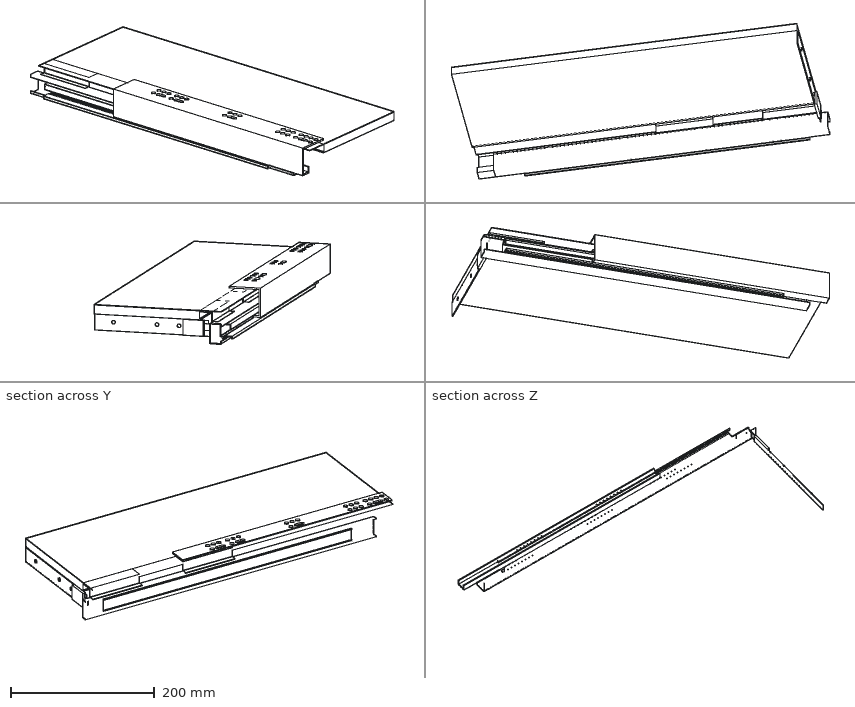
import cadquery as cq
import math

LENGTH = 501.5
WIDTH = 198.5
HEIGHT = 51.5

COVER_START = 158.0
COVER_END = 500.0
COVER_SHEET = 2.25
COVER_TOP_WIDTH = 45.5
COVER_BASE_Z = 10.0
COVER_BASE_WIDTH = 14.0
COVER_LIP_TOP = 19.5

HOLE_DIAMETER = 6.0
HOLE_PITCH = 9.0
GROUP_PITCH = 32.0
FIRST_HOLE_X = 210.0
MIDDLE_GROUP_OFFSET = 4 * GROUP_PITCH
END_GROUP_OFFSET = 7 * GROUP_PITCH
INNER_ROW_Y = 36.5
OUTER_ROW_Y = 24.5

CHANNEL_END = 474.5
CHANNEL_HEIGHT = 29.5
CHANNEL_SHEET = 1.5
CHANNEL_BACK_Y = 27.5
CHANNEL_FRONT_Y = 9.5
CHANNEL_LIP = 4.5
CHANNEL_INNER_BEND = 1.0
CHANNEL_OUTER_BEND = CHANNEL_INNER_BEND + CHANNEL_SHEET

RAIL_START = 29.5
RAIL_END = 434.5
RAIL_SHEET = 1.5
RAIL_BACK_Y = 21.0
RAIL_TOP_Z = 24.0
RAIL_BASE_Z = 5.5
RAIL_HOOK_Y = 5.0
RAIL_HOOK_BOTTOM = 15.5
RAIL_FOOT_Y = 4.0
RAIL_FOOT_BOTTOM = 2.5
BEAD_Y = 16.5
BEAD_HALF_WIDTH = 3.0
BEAD_HEIGHT = 3.0

FLOOR_START = 11.5
SHEET_TOP = 44.5
SHEET_THICKNESS = 1.0
SHEET_FRONT_Y = 13.5
BOARD_FRONT_Y = 45.0
BOARD_BASE_Z = 31.0
LEDGE_WIDTH = 1.5
LEDGE_HEIGHT = 1.5
SHEET_BASE_Z = SHEET_TOP - SHEET_THICKNESS

ANGLE_LENGTH = 80.5
ANGLE_SECOND_START = 163.0
ANGLE_SHEET = 1.5
ANGLE_FOOT_SHEET = 0.5
ANGLE_FOOT_Y = 18.0

PANEL_START = 10.0
PANEL_BASE_Z = 8.5
PANEL_FAR_Y = 197.0
PANEL_NEAR_Y = 37.5
PANEL_HOLE_DIAMETER = 5.0
PANEL_HOLE_Z = 21.0
PANEL_HOLE_YS = (170.0, 107.0, 74.5)

PAD_START = 7.5
PAD_FAR_Y = 68.0
PAD_CHAMFER = 1.5
TIE_START = 8.5
TIE_RECESS = 0.5
TIE_TOP_Z = 26.5
TIE_STEP_Z = 17.0
TIE_GAP = 2.0
TAB_NEAR_Y = 31.5


def block(x_range, y_range, z_range):
    """Box between the given limits."""
    size = [high - low for low, high in (x_range, y_range, z_range)]
    return cq.Workplane("XY").box(*size, centered=False).translate((x_range[0], y_range[0], z_range[0]))


def left_normal(start, end):
    """Unit normal on the left of the segment from start to end."""
    run = math.dist(start, end)
    return (start[1] - end[1]) / run, (end[0] - start[0]) / run


def thickened(path, thickness):
    """Closed outline of a sheet whose right-hand face follows the path, with mitred bends."""
    normals = [left_normal(a, b) for a, b in zip(path, path[1:])]
    before = [normals[0]] + normals
    after = normals + [normals[-1]]
    other_face = []
    for (y, z), (ay, az), (by, bz) in zip(path, before, after):
        reach = thickness / (1 + ay * by + az * bz)
        other_face.append((y + (ay + by) * reach, z + (az + bz) * reach))
    return path + other_face[::-1]


def sheet_profile(path, thickness, start, end):
    """Sheet section in the YZ plane extruded from X = start to X = end."""
    outline = thickened(path, thickness)
    return cq.Workplane("YZ").workplane(offset=start).polyline(outline).close().extrude(end - start)


def make_cover():
    """Cover profile with two rows of fixing holes and slots in its top flange."""
    path = [
        (COVER_TOP_WIDTH, HEIGHT),
        (0, HEIGHT),
        (0, COVER_BASE_Z),
        (COVER_BASE_WIDTH, COVER_BASE_Z),
        (COVER_BASE_WIDTH, COVER_LIP_TOP),
    ]
    cover = sheet_profile(path, COVER_SHEET, COVER_START, COVER_END)

    group_offsets = (0, GROUP_PITCH, MIDDLE_GROUP_OFFSET, END_GROUP_OFFSET, END_GROUP_OFFSET + GROUP_PITCH)
    group_starts = [FIRST_HOLE_X + offset for offset in group_offsets]
    holes = []
    slots = []
    for start in group_starts:
        holes += [(start + i * HOLE_PITCH, INNER_ROW_Y) for i in range(3)]
        holes.append((start, OUTER_ROW_Y))
        if start == group_starts[3]:
            holes += [(start + i * HOLE_PITCH, OUTER_ROW_Y) for i in (1, 2)]
        else:
            slots.append((start + 1.5 * HOLE_PITCH, OUTER_ROW_Y))
    holes += [(group_starts[-1] + 3 * HOLE_PITCH, y) for y in (INNER_ROW_Y, OUTER_ROW_Y)]

    top = cq.Workplane("XY").workplane(offset=HEIGHT - COVER_SHEET)
    round_cuts = top.pushPoints(holes).circle(HOLE_DIAMETER / 2).extrude(COVER_SHEET)
    slot_cuts = top.pushPoints(slots).slot2D(HOLE_PITCH + HOLE_DIAMETER, HOLE_DIAMETER).extrude(COVER_SHEET)
    return cover.cut(round_cuts).cut(slot_cuts)


def make_channel():
    """Channel with rounded bends and short lips turned towards each other."""
    x_range = (0, CHANNEL_END)
    inner_y = (CHANNEL_FRONT_Y + CHANNEL_SHEET, CHANNEL_BACK_Y - CHANNEL_SHEET)
    inner_z = (CHANNEL_SHEET, CHANNEL_HEIGHT - CHANNEL_SHEET)
    outside = block(x_range, (CHANNEL_FRONT_Y, CHANNEL_BACK_Y), (0, CHANNEL_HEIGHT))
    inside = block(x_range, inner_y, inner_z)
    opening = block(x_range, (CHANNEL_FRONT_Y, inner_y[0]), (CHANNEL_LIP, CHANNEL_HEIGHT - CHANNEL_LIP))
    outside = outside.edges("|X").fillet(CHANNEL_OUTER_BEND)
    inside = inside.edges("|X").fillet(CHANNEL_INNER_BEND)
    return outside.cut(inside).cut(opening)


def make_rail():
    """Rail with a bead on both flanges, a hook on the upper one and a foot on the lower one."""
    path = [
        (RAIL_FOOT_Y, RAIL_FOOT_BOTTOM),
        (RAIL_FOOT_Y, RAIL_BASE_Z),
        (BEAD_Y - BEAD_HALF_WIDTH, RAIL_BASE_Z),
        (BEAD_Y, RAIL_BASE_Z - BEAD_HEIGHT),
        (BEAD_Y + BEAD_HALF_WIDTH, RAIL_BASE_Z),
        (RAIL_BACK_Y, RAIL_BASE_Z),
        (RAIL_BACK_Y, RAIL_TOP_Z),
        (BEAD_Y + BEAD_HALF_WIDTH, RAIL_TOP_Z),
        (BEAD_Y, RAIL_TOP_Z + BEAD_HEIGHT),
        (BEAD_Y - BEAD_HALF_WIDTH, RAIL_TOP_Z),
        (RAIL_HOOK_Y, RAIL_TOP_Z),
        (RAIL_HOOK_Y, RAIL_HOOK_BOTTOM),
    ]
    return sheet_profile(path, RAIL_SHEET, RAIL_START, RAIL_END)


def make_floor_sheet():
    """Thin sheet over the whole drawer floor."""
    return block((FLOOR_START, LENGTH), (SHEET_FRONT_Y, WIDTH), (SHEET_BASE_Z, SHEET_TOP))


def make_board():
    """Board under the floor sheet, with a small ledge along its lower edge."""
    x_range = (FLOOR_START, LENGTH)
    board = block(x_range, (BOARD_FRONT_Y, WIDTH), (BOARD_BASE_Z, SHEET_BASE_Z))
    ledge_y = (BOARD_FRONT_Y - LEDGE_WIDTH, BOARD_FRONT_Y)
    return board.union(block(x_range, ledge_y, (BOARD_BASE_Z, BOARD_BASE_Z + LEDGE_HEIGHT)))


def make_angle(start):
    """Z-shaped bracket: a thin foot on the channel, a web, and a flange under the floor sheet."""
    end = start + ANGLE_LENGTH
    web_face_y = CHANNEL_BACK_Y - ANGLE_SHEET
    path = [
        (BOARD_FRONT_Y, SHEET_BASE_Z),
        (web_face_y, SHEET_BASE_Z),
        (web_face_y, CHANNEL_HEIGHT),
    ]
    web_and_flange = sheet_profile(path, ANGLE_SHEET, start, end)
    foot_z = (CHANNEL_HEIGHT, CHANNEL_HEIGHT + ANGLE_FOOT_SHEET)
    return web_and_flange.union(block((start, end), (ANGLE_FOOT_Y, web_face_y), foot_z))


def make_end_plate():
    """Holed panel below the board, thickened near the channel, with a stepped tie and a small tab."""
    panel = block((PANEL_START, FLOOR_START), (PANEL_NEAR_Y, PANEL_FAR_Y), (PANEL_BASE_Z, BOARD_BASE_Z))
    centres = [(y, PANEL_HOLE_Z) for y in PANEL_HOLE_YS]
    holes = cq.Workplane("YZ").workplane(offset=PANEL_START).pushPoints(centres)
    panel = panel.cut(holes.circle(PANEL_HOLE_DIAMETER / 2).extrude(FLOOR_START - PANEL_START))

    pad = block((PAD_START, PANEL_START), (PANEL_NEAR_Y, PAD_FAR_Y), (PANEL_BASE_Z, BOARD_BASE_Z))
    pad = pad.edges("|Z and <X and <Y").chamfer(PAD_CHAMFER)

    recessed_x = (TIE_START + TIE_RECESS, PANEL_START)
    upper_tie = block((TIE_START, PANEL_START), (CHANNEL_BACK_Y, PANEL_NEAR_Y), (TIE_STEP_Z, TIE_TOP_Z))
    lower_tie = block(recessed_x, (CHANNEL_BACK_Y + TIE_GAP, PANEL_NEAR_Y), (PANEL_BASE_Z, TIE_STEP_Z))
    tab = block(recessed_x, (TAB_NEAR_Y, PANEL_NEAR_Y), (TIE_TOP_Z, BOARD_BASE_Z))
    return panel.union(pad).union(upper_tie).union(lower_tie).union(tab)


cover = make_cover()
channel = make_channel()
rail = make_rail()
floor_sheet = make_floor_sheet()
board = make_board()
angles = [make_angle(start) for start in (FLOOR_START, ANGLE_SECOND_START)]
end_plate = make_end_plate()

bodies = [cover, channel, rail, floor_sheet, board, *angles, end_plate]
result = cq.Compound.makeCompound([body.val() for body in bodies])